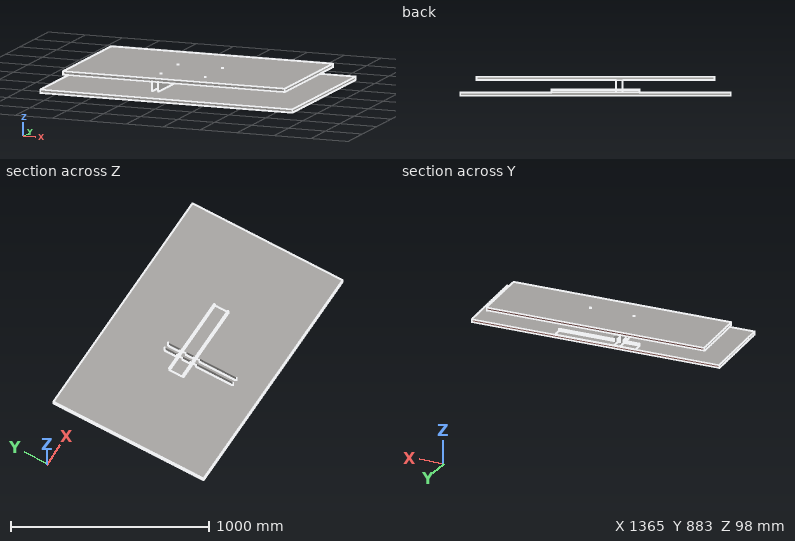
import cadquery as cq
import math

overall_height = 98.0
base_length = 1365.0
base_width = 883.0
panel_thickness = 18.0

top_length = 1201.0
top_width = 673.0
hole_spacing = 240.0
hole_diameter = 7.0

mount_center_y = -87.0

plate_length = 445.0
sheet = 2.0
cleat_height = 15.0
lip_rise = 4.0
cleat_spacing = 80.0
upper_cleat_y = 33.0
lip_angle = 45

arm_center_x = -hole_spacing / 2
arm_width = 35.0
arm_length = 404.0
corner_radius = 10.0
notch_width = 33.0
notch_depth = 16.0
notch_overhang = 11.0

base_bottom_z = -overall_height / 2
floor_z = base_bottom_z + panel_thickness
ceiling_z = overall_height / 2 - panel_thickness
plate_top_z = floor_z + sheet
lower_cleat_y = upper_cleat_y - cleat_spacing


def block(size_x, size_y, size_z, center_x, center_y, bottom_z):
    """Box placed by the centre of its bottom face."""
    bottom_center = cq.Workplane("XY", origin=(center_x, center_y, bottom_z))
    return bottom_center.box(size_x, size_y, size_z, centered=(True, True, False))


def make_base_panel():
    return block(base_length, base_width, panel_thickness, 0, 0, base_bottom_z)


def make_top_panel():
    panel = block(top_length, top_width, panel_thickness, 0, 0, ceiling_z)
    holes = (
        cq.Workplane("XY", origin=(0, mount_center_y, ceiling_z))
        .rect(hole_spacing, hole_spacing, forConstruction=True)
        .vertices()
        .circle(hole_diameter / 2)
        .extrude(panel_thickness)
    )
    return panel.cut(holes)


def make_cleat(face_y):
    """Upright sheet with its lip bent toward +Y; face_y is where its -Y face stands."""
    angle = math.radians(lip_angle)
    tip_z = floor_z + cleat_height
    bend_z = tip_z - lip_rise
    tip_y = face_y + lip_rise * math.tan(angle)
    inner_bend_z = bend_z - sheet * math.tan(angle / 2)
    return (
        cq.Workplane("YZ", origin=(-plate_length / 2, 0, 0))
        .moveTo(face_y, floor_z)
        .lineTo(face_y, bend_z)
        .lineTo(tip_y, tip_z)
        .lineTo(tip_y + sheet * math.cos(angle), tip_z - sheet * math.sin(angle))
        .lineTo(face_y + sheet, inner_bend_z)
        .lineTo(face_y + sheet, floor_z)
        .close()
        .extrude(plate_length)
    )


def make_wall_plate():
    floor_center_y = (upper_cleat_y + lower_cleat_y) / 2
    plate = block(plate_length, cleat_spacing, sheet, 0, floor_center_y, floor_z)
    for face_y in (upper_cleat_y, lower_cleat_y):
        plate = plate.union(make_cleat(face_y))
    return plate


def make_arm():
    height = ceiling_z - plate_top_z
    inner_width = arm_width - 2 * sheet
    arm = block(arm_width, arm_length, height, arm_center_x, mount_center_y, plate_top_z)
    arm = arm.faces("<Z").edges("|X").fillet(corner_radius)
    arm = arm.cut(block(inner_width, arm_length, height - sheet, arm_center_x, mount_center_y, plate_top_z))
    for face_y in (upper_cleat_y, lower_cleat_y):
        notch_y = face_y + notch_overhang - notch_width / 2
        arm = arm.cut(block(arm_width, notch_width, notch_depth, arm_center_x, notch_y, plate_top_z))
    return arm


base_panel = make_base_panel()
top_panel = make_top_panel()
wall_plate = make_wall_plate()
arm = make_arm()

result = cq.Compound.makeCompound(
    [base_panel.val(), top_panel.val(), wall_plate.val(), arm.val()]
)